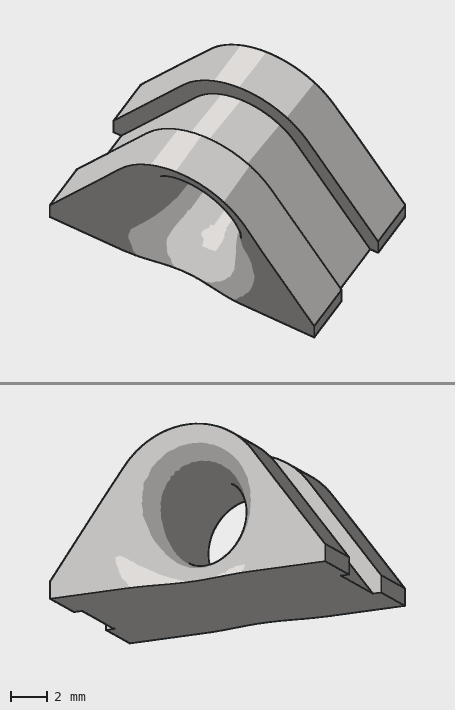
import cadquery as cq
import math

length = 17.0
width = 10.0
bore_radius = 2.5
bore_height = 4.0
crown_radius = 5.0
foot_height = 1.0
groove_width = 4.0
groove_depth = 1.0

half_length = length / 2
flare_radius = (width - groove_width) / 2
waist_radius = crown_radius - groove_depth

foot_drop = bore_height - foot_height
foot_distance = math.hypot(half_length, foot_drop)
flank_angle = math.acos(crown_radius / foot_distance) - math.atan2(foot_drop, half_length)


def tangent_point(radius):
    """Point where the right flank leaves an arc centred on the bore."""
    return radius * math.cos(flank_angle), bore_height + radius * math.sin(flank_angle)


def arch(radius, base_half, side_height, depth):
    """Rounded crown with tangent flanks, extruded symmetrically along Y."""
    x, z = tangent_point(radius)
    outline = cq.Workplane("XZ").moveTo(-base_half, 0).lineTo(base_half, 0)
    if side_height > 0:
        outline = outline.lineTo(base_half, side_height)
    outline = outline.lineTo(x, z).threePointArc((0, bore_height + radius), (-x, z))
    if side_height > 0:
        outline = outline.lineTo(-base_half, side_height)
    return outline.close().extrude(depth / 2, both=True)


def flared_bore():
    """Bore with a straight middle and a quarter-round bell mouth at each end."""
    end = width / 2
    land = groove_width / 2
    mouth_radius = bore_radius + flare_radius
    diagonal = flare_radius * math.sqrt(0.5)
    mid_radius = mouth_radius - diagonal
    mid_y = land + diagonal
    return (
        cq.Workplane("XY")
        .moveTo(0, -end)
        .lineTo(mouth_radius, -end)
        .threePointArc((mid_radius, -mid_y), (bore_radius, -land))
        .lineTo(bore_radius, land)
        .threePointArc((mid_radius, mid_y), (mouth_radius, end))
        .lineTo(0, end)
        .close()
        .revolve(360, (0, 0, 0), (0, 1, 0))
        .translate((0, 0, bore_height))
    )


waist_x, waist_z = tangent_point(waist_radius)
waist_base_half = waist_x + waist_z * math.tan(flank_angle)
waist = arch(waist_radius, waist_base_half, 0, width)

groove_gap = cq.Workplane("XY").box(length, groove_width, 2 * (bore_height + crown_radius))
flanges = arch(crown_radius, half_length, foot_height, width).cut(groove_gap)

result = flanges.union(waist).cut(flared_bore())